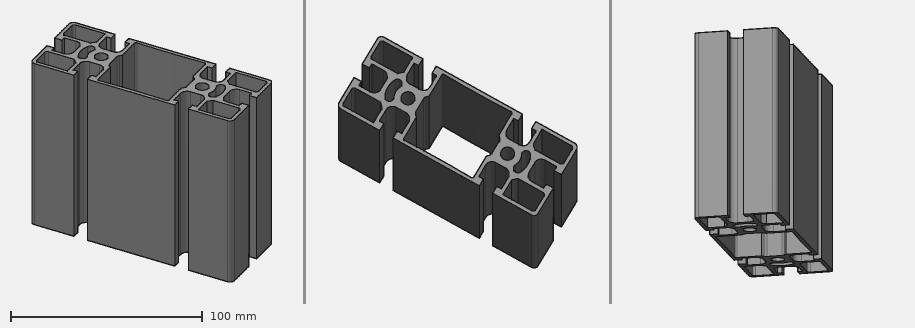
import cadquery as cq
import math

length = 120.0
width = 45.0
height = 100.0
outer_corner_radius = 2.5

side_slot_opening = 8.0
end_slot_opening = 8.4
slot_lip = 4.3
slot_inner_width = 13.5
slot_depth = 15.2
slot_corner_radius = 3.8
core_x = 30.0

outer_wall = 2.0
slot_wall = 2.2

chamber_corner_radius = 1.5
chamber_inner_chamfer = 2.4

bore_diameter = 7.2
kidney_mid_radius = 9.7
kidney_width = 4.8
kidney_half_angle = 25.6

central_corner_radius = 0.8
central_wall_edge = 1.8
central_wall_middle = 2.2
recess_depth = 1.8
recess_half_width = 6.6
recess_corner_radius = 2.2

half_length = length / 2
half_width = width / 2


def prism(outline):
    """Extrude a closed outline over the full height."""
    return outline.extrude(height)


def box_prism(x_min, x_max, y_min, y_max):
    """Rectangular prism over the full height."""
    outline = cq.Workplane("XY").center((x_min + x_max) / 2, (y_min + y_max) / 2)
    return prism(outline.rect(x_max - x_min, y_max - y_min))


def mirrored_x(solid):
    """Return the solid together with its mirror image across the YZ plane."""
    return solid.union(solid.mirror("YZ"))


def mirrored_y(solid):
    """Return the solid together with its mirror image across the XZ plane."""
    return solid.union(solid.mirror("XZ"))


def t_slot(opening):
    """T-slot opening towards +X, with its mouth on the YZ plane and rounded floor corners."""
    cavity_half = slot_inner_width / 2
    mouth = box_prism(-slot_lip, 0, -opening / 2, opening / 2)
    cavity = box_prism(-slot_depth, -slot_lip, -cavity_half, cavity_half)
    return mouth.union(cavity.edges("|Z and <X").fillet(slot_corner_radius))


def side_slot():
    """T-slot opening on the +Y side above the +X core."""
    slot = t_slot(side_slot_opening).rotate((0, 0, 0), (0, 0, 1), 90)
    return slot.translate((core_x, half_width, 0))


def end_slot():
    """T-slot opening on the +X end."""
    return t_slot(end_slot_opening).translate((half_length, 0, 0))


def corner_chamber():
    """Hollow chamber in the +X +Y corner, chamfered towards the core."""
    x_min = core_x + slot_inner_width / 2 + slot_wall
    y_min = slot_inner_width / 2 + slot_wall
    chamber = box_prism(x_min, half_length - outer_wall, y_min, half_width - outer_wall)
    chamber = chamber.edges("|Z and >X").fillet(chamber_corner_radius)
    return chamber.edges("|Z and <X and <Y").chamfer(chamber_inner_chamfer)


def core_bore():
    """Round bore through the +X core."""
    return prism(cq.Workplane("XY").center(core_x, 0).circle(bore_diameter / 2))


def kidney_bore():
    """Arc-shaped bore around the +X core bore, on its outer side."""
    angle = math.radians(kidney_half_angle)
    cap_radius = kidney_width / 2
    inner_radius = kidney_mid_radius - cap_radius
    outer_radius = kidney_mid_radius + cap_radius

    def polar(radius, direction):
        return (core_x + radius * math.cos(direction), radius * math.sin(direction))

    def cap_tip(side):
        x, y = polar(kidney_mid_radius, side * angle)
        return (x - cap_radius * math.sin(angle), y + side * cap_radius * math.cos(angle))

    return prism(
        cq.Workplane("XY")
        .moveTo(*polar(outer_radius, -angle))
        .threePointArc(polar(outer_radius, 0), polar(outer_radius, angle))
        .threePointArc(cap_tip(1), polar(inner_radius, angle))
        .threePointArc(polar(inner_radius, 0), polar(inner_radius, -angle))
        .threePointArc(cap_tip(-1), polar(outer_radius, -angle))
        .close()
    )


def central_chamber():
    """Large middle chamber: long walls bowed inwards, 45-degree recess in each core."""
    wall_x = core_x - slot_inner_width / 2 - slot_wall
    edge_y = half_width - central_wall_edge
    middle_y = half_width - central_wall_middle
    chamber = prism(
        cq.Workplane("XY")
        .moveTo(-wall_x, -edge_y)
        .threePointArc((0, -middle_y), (wall_x, -edge_y))
        .lineTo(wall_x, edge_y)
        .threePointArc((0, middle_y), (-wall_x, edge_y))
        .close()
    )
    chamber = chamber.edges("|Z").fillet(central_corner_radius)

    recess_x = wall_x + recess_depth
    recess = box_prism(-recess_x, recess_x, -recess_half_width, recess_half_width)
    recess = recess.edges("|Z").chamfer(recess_depth)
    recess = recess.edges("|Z and (>X or <X)").fillet(recess_corner_radius)
    return chamber.union(recess)


body = box_prism(-half_length, half_length, -half_width, half_width)
body = body.edges("|Z").fillet(outer_corner_radius)

for cutter in (side_slot(), corner_chamber()):
    body = body.cut(mirrored_x(mirrored_y(cutter)))

for cutter in (end_slot(), core_bore(), kidney_bore()):
    body = body.cut(mirrored_x(cutter))

result = body.cut(central_chamber())